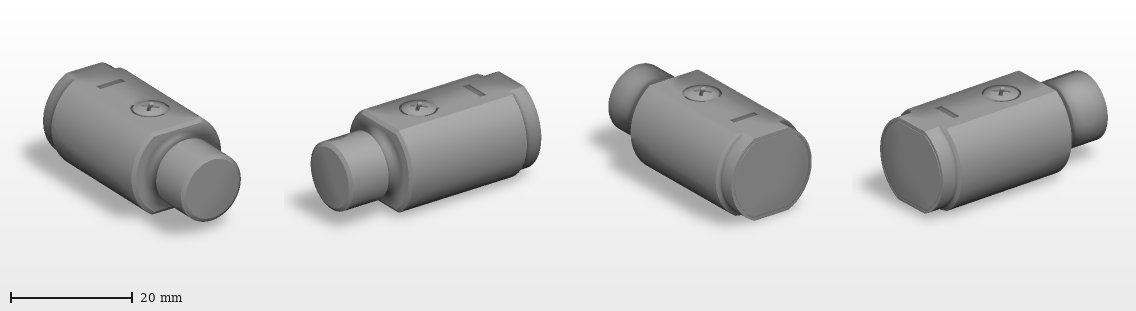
import cadquery as cq
import math

total_length = 37.0

body_diameter = 18.0
flat_height = 15.02
body_end_x = 27.0
end_chamfer_length = 0.45
end_chamfer_depth = 0.63

collar_diameter = 16.58
collar_length = 2.95
flare_end_x = 3.45

groove_outer_diameter = 15.9
groove_outer_height = 14.1
groove_inner_diameter = 15.17
groove_inner_height = 13.4
groove_depth = 0.1

neck_diameter = 10.6
cove_radius = 1.0
neck_end_x = 28.95
connector_diameter = 12.0
connector_chamfer_length = 0.45

slot_x = 7.55
slot_width = 1.25
slot_length = 5.0
slot_depth = 0.3

screw_x = 18.95
pocket_diameter = 6.5
pocket_depth = 0.55
head_diameter = 5.75
dome_height = 0.48

stop_width = 2.95
pointer_width = 2.78
pointer_angle = 45

cross_span = 3.85
cross_ramp_end_span = 2.35
cross_ramp_end_height = 0.07
cross_floor_span = 1.85
cross_floor_height = -1.07
cross_arm_width = 0.65
cross_corner_radius = 0.3

top_z = flat_height / 2


def flatted_disc(diameter, height, thickness):
    """Disc behind the front face, cut to the given height by two horizontal flats."""
    disc = cq.Workplane("YZ").circle(diameter / 2).extrude(thickness)
    slab = cq.Workplane("YZ").rect(diameter, height).extrude(thickness)
    return disc.intersect(slab)


def make_body():
    """Collar, flare and body turned about X, then flatted; flats and round share the end chamfer."""
    collar_radius = collar_diameter / 2
    body_radius = body_diameter / 2
    chamfer_start_x = body_end_x - end_chamfer_length
    turned = (
        cq.Workplane("XY")
        .lineTo(0, collar_radius)
        .lineTo(collar_length, collar_radius)
        .lineTo(flare_end_x, body_radius)
        .lineTo(chamfer_start_x, body_radius)
        .lineTo(body_end_x, body_radius - end_chamfer_depth)
        .lineTo(body_end_x, 0)
        .close()
        .revolve(360, (0, 0, 0), (1, 0, 0))
    )
    flatted_side = (
        cq.Workplane("XZ")
        .moveTo(0, -top_z)
        .lineTo(chamfer_start_x, -top_z)
        .lineTo(body_end_x, end_chamfer_depth - top_z)
        .lineTo(body_end_x, top_z - end_chamfer_depth)
        .lineTo(chamfer_start_x, top_z)
        .lineTo(0, top_z)
        .close()
        .extrude(body_radius, both=True)
    )
    return turned.intersect(flatted_side)


def make_window_groove():
    outer = flatted_disc(groove_outer_diameter, groove_outer_height, groove_depth)
    inner = flatted_disc(groove_inner_diameter, groove_inner_height, groove_depth)
    return outer.cut(inner)


def make_connector():
    neck_radius = neck_diameter / 2
    connector_radius = connector_diameter / 2
    cove_center = (body_end_x + cove_radius, neck_radius + cove_radius)
    cove_middle = (
        cove_center[0] - cove_radius * math.sqrt(0.5),
        cove_center[1] - cove_radius * math.sqrt(0.5),
    )
    return (
        cq.Workplane("XY")
        .moveTo(body_end_x, 0)
        .lineTo(body_end_x, cove_center[1])
        .threePointArc(cove_middle, (cove_center[0], neck_radius))
        .lineTo(neck_end_x, neck_radius)
        .lineTo(neck_end_x + connector_chamfer_length, connector_radius)
        .lineTo(total_length - connector_chamfer_length, connector_radius)
        .lineTo(total_length, neck_radius)
        .lineTo(total_length, 0)
        .close()
        .revolve(360, (0, 0, 0), (1, 0, 0))
    )


def make_slot():
    return (
        cq.Workplane("XY", origin=(slot_x, 0, top_z - slot_depth))
        .rect(slot_width, slot_length)
        .extrude(slot_depth)
    )


def make_screw_tab(width, height, angle):
    """Straight-sided tab from the screw centre out to the pocket wall, standing on the pocket floor."""
    tab = (
        cq.Workplane("XY")
        .circle(pocket_diameter / 2)
        .extrude(height)
        .intersect(cq.Workplane("XY").box(pocket_diameter, width, height, centered=(False, True, False)))
    )
    return tab.rotate((0, 0, 0), (0, 0, 1), angle).translate((screw_x, 0, top_z - pocket_depth))


def make_screw_pocket():
    pocket = (
        cq.Workplane("XY", origin=(screw_x, 0, top_z - pocket_depth))
        .circle(pocket_diameter / 2)
        .extrude(pocket_depth)
    )
    return pocket.cut(make_screw_tab(stop_width, pocket_depth, 180))


def make_cross_arm(angle):
    """One straight arm through the screw centre, getting shorter towards its floor."""
    half_profile = [
        (cross_floor_span / 2, cross_floor_height),
        (cross_ramp_end_span / 2, cross_ramp_end_height),
        (cross_span / 2, dome_height),
    ]
    mirrored_profile = [(-x, z) for x, z in reversed(half_profile)]
    arm = (
        cq.Workplane("XZ", origin=(0, cross_arm_width / 2, 0))
        .polyline(half_profile + mirrored_profile)
        .close()
        .extrude(cross_arm_width)
    )
    return arm.rotate((0, 0, 0), (0, 0, 1), angle).translate((screw_x, 0, top_z))


def make_cross_recess():
    cross = make_cross_arm(45).union(make_cross_arm(135))
    return cross.edges("|Z").fillet(cross_corner_radius)


def make_screw_head():
    head_radius = head_diameter / 2
    dome_radius = (head_radius**2 + dome_height**2) / (2 * dome_height)
    dome_center_z = top_z + dome_height - dome_radius
    head_height = pocket_depth + dome_height
    head = (
        cq.Workplane("XY", origin=(screw_x, 0, top_z - pocket_depth))
        .circle(head_radius)
        .extrude(head_height)
        .union(make_screw_tab(pointer_width, head_height, pointer_angle))
    )
    dome = cq.Workplane("XY", origin=(screw_x, 0, dome_center_z)).sphere(dome_radius)
    return head.intersect(dome)


result = (
    make_body()
    .cut(make_window_groove())
    .union(make_connector())
    .cut(make_slot())
    .cut(make_screw_pocket())
    .union(make_screw_head())
    .cut(make_cross_recess())
)